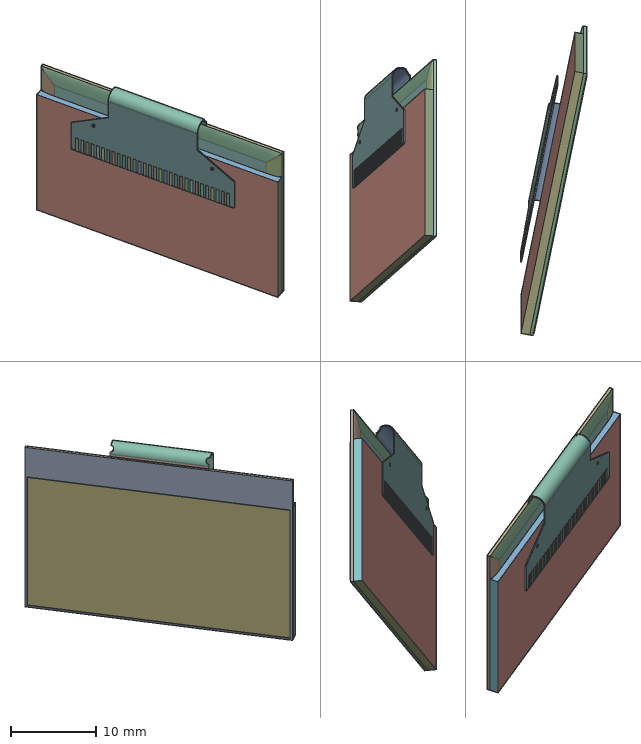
import cadquery as cq
import math


module_width = 32.42
rear_glass_height = 21.33
rear_glass_thickness = 0.4
front_glass_height = 17.7
front_glass_thickness = 1.05

polarizer_thickness = 0.1
polarizer_inset = 0.3

potting_thickness = 0.3
potting_edge_run = 1.98

flex_thickness = 0.143
pad_face_offset = 2.17
overall_height = 22.82
bend_radius = 1.15
bend_axis_z = overall_height - bend_radius
neck_width = 12.0
tail_width = 21.98
shoulder_top_z = 19.2
shoulder_bottom_z = 16.37
tail_bottom_z = 12.32
tail_corner_radius = 0.15
bend_notch_radius = 0.4
bend_notch_angle = 35.0
locating_hole_radius = 0.2
locating_hole_x = 7.98
locating_hole_z = 17.12

pad_count = 30
pad_row_width = 20.7
pad_width = 0.4
pad_length = 1.98
pad_height = 0.015

ledge_height = rear_glass_height - front_glass_height
tail_offset = pad_face_offset - pad_height
bend_axis_y = bend_radius - tail_offset
bend_back_y = bend_axis_y + bend_radius
bend_inner_radius = bend_radius - flex_thickness
tail_front_y = -tail_offset
pad_pitch = (pad_row_width - pad_width) / (pad_count - 1)


def block(width, y_front, y_back, z_bottom, z_top):
    """Box centred on X between the given Y and Z limits."""
    return (
        cq.Workplane("XY")
        .box(width, y_back - y_front, z_top - z_bottom, centered=(True, False, False))
        .translate((0, y_front, z_bottom))
    )


def make_rear_glass():
    return block(module_width, 0, rear_glass_thickness, 0, rear_glass_height)


def make_front_glass():
    return block(module_width, -front_glass_thickness, 0, 0, front_glass_height)


def make_polarizer():
    return block(
        module_width - 2 * polarizer_inset,
        rear_glass_thickness,
        rear_glass_thickness + polarizer_thickness,
        polarizer_inset,
        front_glass_height - polarizer_inset,
    )


def make_foot():
    """Straight end of the flex that stands on the top edge of the glass."""
    return block(neck_width, bend_back_y - flex_thickness, bend_back_y, rear_glass_height, bend_axis_z)


def make_potting():
    """Bead with a mitred quarter-elliptic slope along its upper edge and down both ends."""
    half_width = module_width / 2
    flat_half_width = half_width - potting_edge_run
    flat_top_z = rear_glass_height - potting_edge_run
    upright = (
        cq.Workplane("YZ", origin=(-half_width, 0, 0))
        .moveTo(0, front_glass_height)
        .lineTo(-potting_thickness, front_glass_height)
        .lineTo(-potting_thickness, flat_top_z)
        .ellipseArc(potting_thickness, potting_edge_run, 90, 180, sense=-1, startAtCurrent=True)
        .close()
        .extrude(module_width)
    )
    across = (
        cq.Workplane("XY", origin=(0, 0, front_glass_height))
        .moveTo(-half_width, 0)
        .ellipseArc(potting_edge_run, potting_thickness, 180, 270, startAtCurrent=True)
        .lineTo(flat_half_width, -potting_thickness)
        .ellipseArc(potting_edge_run, potting_thickness, 270, 360, startAtCurrent=True)
        .close()
        .extrude(ledge_height)
    )
    return upright.intersect(across).solids()


def make_bend():
    """Half-round bend of the flex with a round notch in each side of its rear half."""
    bend = (
        cq.Workplane("YZ", origin=(-neck_width / 2, 0, 0))
        .moveTo(bend_back_y, bend_axis_z)
        .threePointArc((bend_axis_y, bend_axis_z + bend_radius), (tail_front_y, bend_axis_z))
        .lineTo(tail_front_y + flex_thickness, bend_axis_z)
        .threePointArc(
            (bend_axis_y, bend_axis_z + bend_inner_radius),
            (bend_back_y - flex_thickness, bend_axis_z),
        )
        .close()
        .extrude(neck_width)
    )
    notch_angle = math.radians(bend_notch_angle)
    notch_direction = cq.Vector(0, math.cos(notch_angle), math.sin(notch_angle))
    for side in (-1, 1):
        notch = cq.Solid.makeCylinder(
            bend_notch_radius,
            2 * bend_radius,
            cq.Vector(side * neck_width / 2, bend_axis_y, bend_axis_z),
            notch_direction,
        )
        bend = bend.cut(cq.Workplane(obj=notch))
    return bend


def make_tail():
    """Flat front part of the flex, widening from the neck to the contact edge."""
    tail_back_plane = cq.Workplane("XZ", origin=(0, tail_front_y + flex_thickness, 0))
    tail = (
        tail_back_plane.moveTo(-neck_width / 2, bend_axis_z)
        .lineTo(-neck_width / 2, shoulder_top_z)
        .lineTo(-tail_width / 2, shoulder_bottom_z)
        .lineTo(-tail_width / 2, tail_bottom_z)
        .lineTo(tail_width / 2, tail_bottom_z)
        .lineTo(tail_width / 2, shoulder_bottom_z)
        .lineTo(neck_width / 2, shoulder_top_z)
        .lineTo(neck_width / 2, bend_axis_z)
        .close()
        .extrude(flex_thickness)
    )
    tail = tail.edges("|Y and <Z").fillet(tail_corner_radius)
    holes = (
        tail_back_plane.pushPoints([(-locating_hole_x, locating_hole_z), (locating_hole_x, locating_hole_z)])
        .circle(locating_hole_radius)
        .extrude(flex_thickness)
    )
    return tail.cut(holes)


def make_pads():
    """Row of contact pads standing slightly proud of the front of the tail."""
    return (
        cq.Workplane("XZ", origin=(0, tail_front_y, 0))
        .center(0, tail_bottom_z + pad_length / 2)
        .rarray(pad_pitch, 0.32, pad_count, 1)
        .rect(pad_width, pad_length)
        .extrude(pad_height)
    )


def make_flex():
    """One solid: foot, bend, tail and contact pads."""
    return make_foot().union(make_bend()).union(make_tail()).union(make_pads()).solids()


polarizer = make_polarizer()
rear_glass = make_rear_glass()
front_glass = make_front_glass()
potting = make_potting()
flex = make_flex()

result = cq.Compound.makeCompound(
    [polarizer.val(), rear_glass.val(), front_glass.val(), potting.val(), flex.val()]
)